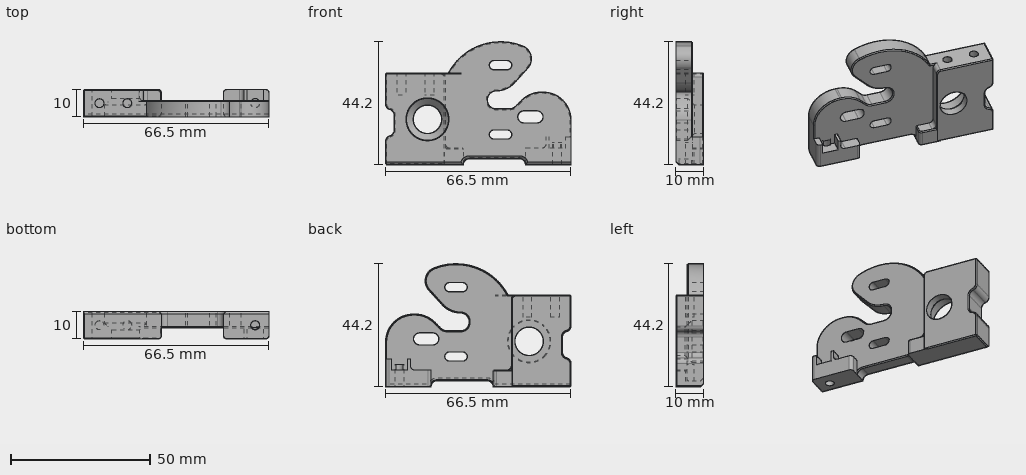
import cadquery as cq
import math

LENGTH = 66.5
THICKNESS = 10.0
PLATE_THICKNESS = 5.9
FOOT_THICKNESS = 9.9
EDGE_CHAMFER = 0.4
BOTTOM_FRONT_CHAMFER = 1.05

BLOCK_WIDTH = 21.4
BLOCK_HEIGHT = 32.9
BLOCK_CORNER_RADIUS = 1.5
FRONT_TOP_CHAMFER_LENGTH = 27.05

NOTCH_DEPTH = 3.05
NOTCH_SIDE = 4.0
NOTCH_CENTER_Z = 15.1
NOTCH_FLAT = 5.45

RECESS_START = 27.9
RECESS_END = 50.15
RECESS_DEPTH = 2.1

FAN_CENTER = (41.2, 23.0)
FAN_RADIUS = 21.15
FAN_TIP_RADIUS = 5.0
FAN_TIP_START_X = 49.2

THROAT_LEFT = 36.6
THROAT_BOTTOM = 20.1
THROAT_TOP = 26.4
THROAT_RADIUS = 3.0
ARM_UNDERSIDE_RADIUS = 9.0

LOBE_RADIUS = 10.0
LOBE_CENTER_Z = 16.1
LOBE_FLAT = 0.65

PLATE_SLOTS = [
    (41.2, 35.7, 8.0, 3.2),
    (41.2, 10.85, 8.0, 3.2),
    (51.95, 17.15, 9.0, 4.25),
]

BORE_CENTER = (15.0, 16.3)
BORE_DIAMETER = 15.0
BORE_DEPTH = 4.25
BORE_RIM_CHAMFER = 0.2
THROUGH_DIAMETER = 10.1
CONE_LENGTH = 2.45

SCREW_DIAMETER = 3.2
SCREW_DEPTH = 8.0
SCREW_Y = THICKNESS / 2
BLOCK_SCREW_X = (5.7, 15.7)
FOOT_SCREW_X = 61.5

FOOT_HEIGHT = 6.0
BACK_CORNER_RADIUS = 1.2
FOOT_INNER_RADIUS = 1.6
NUT_BLOCK_START = 57.6
NUT_BLOCK_HEIGHT = 10.0
NUT_CHANNEL_WIDTH = 5.85


def on_circle(center, radius, degrees):
    """Point on a circle in the XZ plane, angle measured from +X towards +Z."""
    angle = math.radians(degrees)
    return (center[0] + radius * math.cos(angle), center[1] + radius * math.sin(angle))


def arc(sketch, center, radius, start, end):
    """Continue an outline along a circular arc between two angles in degrees."""
    middle = on_circle(center, radius, (start + end) / 2)
    return sketch.threePointArc(middle, on_circle(center, radius, end))


def box(x_range, y_range, z_range):
    """Axis-aligned box between the given limits."""
    (x0, x1), (y0, y1), (z0, z1) = x_range, y_range, z_range
    return cq.Workplane("XY").box(x1 - x0, y1 - y0, z1 - z0, centered=False).translate((x0, y0, z0))


def plate():
    """Plate with the recess, the lobe, the throat and the fan-shaped arm."""
    tip_angle = math.degrees(math.acos((FAN_TIP_START_X - FAN_CENTER[0]) / FAN_RADIUS))
    tip_center = on_circle(FAN_CENTER, FAN_RADIUS - FAN_TIP_RADIUS, tip_angle)
    fan_rise = BLOCK_HEIGHT - FAN_CENTER[1]
    fan_foot_angle = 180 - math.degrees(math.asin(fan_rise / FAN_RADIUS))

    under_center = (THROAT_LEFT + THROAT_RADIUS, THROAT_TOP + ARM_UNDERSIDE_RADIUS)
    run = tip_center[0] - under_center[0]
    rise = tip_center[1] - under_center[1]
    radius_gap = ARM_UNDERSIDE_RADIUS - FAN_TIP_RADIUS
    flank_angle = math.degrees(math.atan2(rise, run) - math.acos(radius_gap / math.hypot(run, rise)))

    lobe_right = (LENGTH - LOBE_RADIUS, LOBE_CENTER_Z)
    lobe_left = (lobe_right[0] - LOBE_FLAT, LOBE_CENTER_Z)
    corner_z = THROAT_BOTTOM + THROAT_RADIUS
    corner_x = lobe_left[0] + corner_z - LOBE_CENTER_Z - (LOBE_RADIUS + THROAT_RADIUS) * math.sqrt(2)
    lobe_corner = (corner_x, corner_z)
    throat_low = (THROAT_LEFT + THROAT_RADIUS, corner_z)
    throat_high = (THROAT_LEFT + THROAT_RADIUS, THROAT_TOP - THROAT_RADIUS)

    outline = cq.Workplane("XZ").moveTo(NOTCH_DEPTH, 0).lineTo(RECESS_START, 0)
    outline = arc(outline, (RECESS_START + RECESS_DEPTH, 0), RECESS_DEPTH, 180, 90)
    outline = outline.lineTo(RECESS_END - RECESS_DEPTH, RECESS_DEPTH)
    outline = arc(outline, (RECESS_END - RECESS_DEPTH, 0), RECESS_DEPTH, 90, 0)
    outline = outline.lineTo(LENGTH, 0).lineTo(LENGTH, LOBE_CENTER_Z)
    outline = arc(outline, lobe_right, LOBE_RADIUS, 0, 90)
    outline = outline.lineTo(lobe_left[0], LOBE_CENTER_Z + LOBE_RADIUS)
    outline = arc(outline, lobe_left, LOBE_RADIUS, 90, 135)
    outline = outline.lineTo(*on_circle(lobe_corner, THROAT_RADIUS, -45))
    outline = arc(outline, lobe_corner, THROAT_RADIUS, -45, -90)
    outline = outline.lineTo(throat_low[0], THROAT_BOTTOM)
    outline = arc(outline, throat_low, THROAT_RADIUS, 270, 180)
    outline = outline.lineTo(THROAT_LEFT, throat_high[1])
    outline = arc(outline, throat_high, THROAT_RADIUS, 180, 90)
    outline = arc(outline, under_center, ARM_UNDERSIDE_RADIUS, -90, flank_angle)
    outline = outline.lineTo(*on_circle(tip_center, FAN_TIP_RADIUS, flank_angle))
    outline = arc(outline, tip_center, FAN_TIP_RADIUS, flank_angle, tip_angle)
    outline = arc(outline, FAN_CENTER, FAN_RADIUS, tip_angle, fan_foot_angle)
    outline = outline.lineTo(NOTCH_DEPTH, BLOCK_HEIGHT)
    body = outline.close().extrude(-PLATE_THICKNESS)

    shoulder = cq.selectors.BoxSelector(
        (NOTCH_DEPTH, 0, BLOCK_HEIGHT - 0.05), (RECESS_START, THICKNESS, BLOCK_HEIGHT + 0.05)
    )
    others = cq.selectors.InverseSelector(shoulder)
    body = body.faces(">Y").edges(others).edges("not <X").chamfer(EDGE_CHAMFER)
    return body.faces(">Y").edges(shoulder).edges("|X").chamfer(EDGE_CHAMFER)


def block():
    """Thick block with the end notch and a rounded top corner."""
    turn_angle = 2 * math.atan(NOTCH_DEPTH / NOTCH_SIDE)
    turn = math.degrees(turn_angle)
    radius = NOTCH_SIDE / (2 * math.sin(turn_angle))
    low_flat = NOTCH_CENTER_Z - NOTCH_FLAT / 2
    high_flat = NOTCH_CENTER_Z + NOTCH_FLAT / 2
    notch_axis_x = NOTCH_DEPTH - radius
    corner = (BLOCK_WIDTH - BLOCK_CORNER_RADIUS, BLOCK_HEIGHT - BLOCK_CORNER_RADIUS)

    outline = cq.Workplane("XZ").lineTo(BLOCK_WIDTH, 0).lineTo(BLOCK_WIDTH, corner[1])
    outline = arc(outline, corner, BLOCK_CORNER_RADIUS, 0, 90)
    outline = outline.lineTo(0, BLOCK_HEIGHT).lineTo(0, high_flat + NOTCH_SIDE)
    outline = arc(outline, (radius, high_flat + NOTCH_SIDE), radius, 180, 180 + turn)
    outline = arc(outline, (notch_axis_x, high_flat), radius, turn, 0)
    outline = outline.lineTo(NOTCH_DEPTH, low_flat)
    outline = arc(outline, (notch_axis_x, low_flat), radius, 0, -turn)
    outline = arc(outline, (radius, low_flat - NOTCH_SIDE), radius, 180 - turn, 180)
    body = outline.close().extrude(-THICKNESS)
    return body.faces(">Y").edges().chamfer(EDGE_CHAMFER)


def inner_corner(x):
    """Selector for the concave edge where a foot's top meets a wall at x."""
    return cq.selectors.BoxSelector(
        (x - 0.05, 0, FOOT_HEIGHT - 0.05), (x + 0.05, FOOT_THICKNESS, FOOT_HEIGHT + 0.05)
    )


def block_foot():
    """Low foot joining the block to the recess, blended into the block's side."""
    depth = (0, FOOT_THICKNESS)
    foot = box((BLOCK_WIDTH - BLOCK_CORNER_RADIUS, RECESS_START), depth, (0, FOOT_HEIGHT))
    foot = foot.edges("|Z and >X and >Y").fillet(BACK_CORNER_RADIUS)
    foot = foot.faces(">Z").edges(">Y").chamfer(EDGE_CHAMFER)
    blend_start = BLOCK_WIDTH + FOOT_INNER_RADIUS
    blend_top = FOOT_HEIGHT + FOOT_INNER_RADIUS
    blend = cq.Workplane("XZ").moveTo(BLOCK_WIDTH, FOOT_HEIGHT).lineTo(blend_start, FOOT_HEIGHT)
    blend = arc(blend, (blend_start, blend_top), FOOT_INNER_RADIUS, 270, 180).close()
    blend = blend.extrude(EDGE_CHAMFER - FOOT_THICKNESS)
    return foot.union(blend)


def nut_foot():
    """Foot at the +X end with a raised nut block and an open nut channel."""
    depth = (0, FOOT_THICKNESS)
    foot = box((RECESS_END, LENGTH), depth, (0, FOOT_HEIGHT))
    foot = foot.union(box((NUT_BLOCK_START, LENGTH), depth, (0, NUT_BLOCK_HEIGHT)))
    foot = foot.edges("|Z and >Y and (<X or >X)").fillet(BACK_CORNER_RADIUS)
    foot = foot.edges(inner_corner(NUT_BLOCK_START)).fillet(FOOT_INNER_RADIUS)
    half_channel = NUT_CHANNEL_WIDTH / 2
    channel = box(
        (FOOT_SCREW_X - half_channel, FOOT_SCREW_X + half_channel),
        (PLATE_THICKNESS, THICKNESS),
        (FOOT_HEIGHT, NUT_BLOCK_HEIGHT),
    )
    return foot.cut(channel)


def edge_wedge(z, length, y_size, z_size):
    """Wedge that bevels a front edge along X; positive z_size rises from z."""
    corners = [(0, z), (y_size, z), (0, z + z_size)]
    return cq.Workplane("YZ").polyline(corners).close().extrude(length)


def end_wedge(z, z_size):
    """Wedge that bevels an edge of the -X end along Y."""
    corners = [(0, z), (EDGE_CHAMFER, z), (0, z + z_size)]
    return cq.Workplane("XZ").polyline(corners).close().extrude(-THICKNESS)


def stepped_bore():
    """Large bore from the front, a cone, and a smaller through hole, with a bevelled rim."""
    rim = BORE_DIAMETER / 2
    through = THROUGH_DIAMETER / 2
    cone_end = BORE_DEPTH + CONE_LENGTH
    profile = [
        (0, 0),
        (rim + BORE_RIM_CHAMFER, 0),
        (rim, BORE_RIM_CHAMFER),
        (rim, BORE_DEPTH),
        (through, cone_end),
        (through, THICKNESS),
        (0, THICKNESS),
    ]
    bore = cq.Workplane("XY").polyline(profile).close().revolve(360, (0, 0, 0), (0, 1, 0))
    return bore.translate((BORE_CENTER[0], 0, BORE_CENTER[1]))


def screw_hole(x, z):
    """Blind vertical hole occupying SCREW_DEPTH above z."""
    return cq.Workplane("XY", origin=(x, SCREW_Y, z)).circle(SCREW_DIAMETER / 2).extrude(SCREW_DEPTH)


result = plate().union(block()).union(block_foot()).union(nut_foot())

lower_edges = cq.selectors.BoxSelector((-0.65, -0.05, -0.05), (LENGTH + 0.65, 0.05, RECESS_DEPTH + 0.05))
result = result.edges(lower_edges).chamfer(BOTTOM_FRONT_CHAMFER)

result = result.cut(edge_wedge(BLOCK_HEIGHT, FRONT_TOP_CHAMFER_LENGTH, EDGE_CHAMFER, -EDGE_CHAMFER))
result = result.cut(end_wedge(BLOCK_HEIGHT, -EDGE_CHAMFER)).cut(end_wedge(0, EDGE_CHAMFER))

result = result.cut(stepped_bore())
for slot_x, slot_z, slot_length, slot_width in PLATE_SLOTS:
    slot = cq.Workplane("XZ", origin=(slot_x, 0, slot_z)).slot2D(slot_length, slot_width)
    result = result.cut(slot.extrude(-PLATE_THICKNESS))
for screw_x in BLOCK_SCREW_X:
    result = result.cut(screw_hole(screw_x, BLOCK_HEIGHT - SCREW_DEPTH))
result = result.cut(screw_hole(FOOT_SCREW_X, 0))